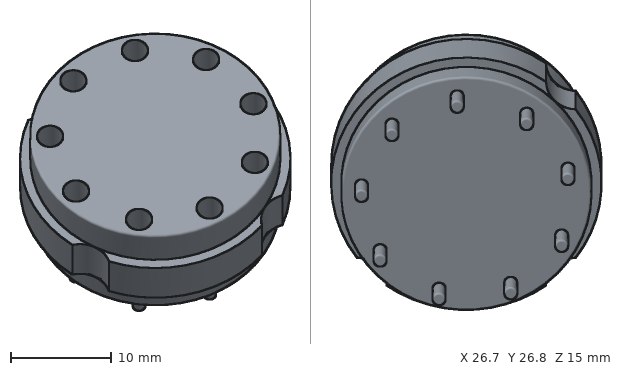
import cadquery as cq
import math

body_diameter = 25.0
body_radius = body_diameter / 2
body_height = 12.0
body_edge_round = 0.25

ring_radius = 13.5
ring_bottom = 2.9
ring_height = 5.12
notch_radius = 3.0
notch_angles = (180, 270, 0)

contact_count = 9
contact_circle_radius = 10.5
first_contact_angle = 90
hole_diameter = 2.6
hole_depth = 8.0
pin_diameter = 1.3
pin_length = 3.0
pin_tip_round = 0.2


def point_on_circle(radius, angle):
    """Point at a polar angle in degrees, measured from +X."""
    turn = math.radians(angle)
    return radius * math.cos(turn), radius * math.sin(turn)


def make_body():
    body = cq.Workplane("XY").circle(body_radius).extrude(body_height)
    return body.faces("<Z or >Z").edges().fillet(body_edge_round)


def make_ring():
    """Solid disc with round-bottomed notches tangent to the body wall."""
    plane = cq.Workplane("XY").workplane(offset=ring_bottom)
    notch_centres = [point_on_circle(body_radius + notch_radius, angle) for angle in notch_angles]
    notches = plane.pushPoints(notch_centres).circle(notch_radius).extrude(ring_height)
    return plane.circle(ring_radius).extrude(ring_height).cut(notches)


def make_pins(centres):
    pins = cq.Workplane("XY").pushPoints(centres).circle(pin_diameter / 2).extrude(-pin_length)
    return pins.faces("<Z").edges().fillet(pin_tip_round)


def make_socket_holes(centres):
    top = cq.Workplane("XY").workplane(offset=body_height)
    return top.pushPoints(centres).circle(hole_diameter / 2).extrude(-hole_depth)


contact_angles = [first_contact_angle + i * 360 / contact_count for i in range(contact_count)]
contact_centres = [point_on_circle(contact_circle_radius, angle) for angle in contact_angles]

result = (
    make_body()
    .union(make_ring())
    .cut(make_socket_holes(contact_centres))
    .union(make_pins(contact_centres))
)